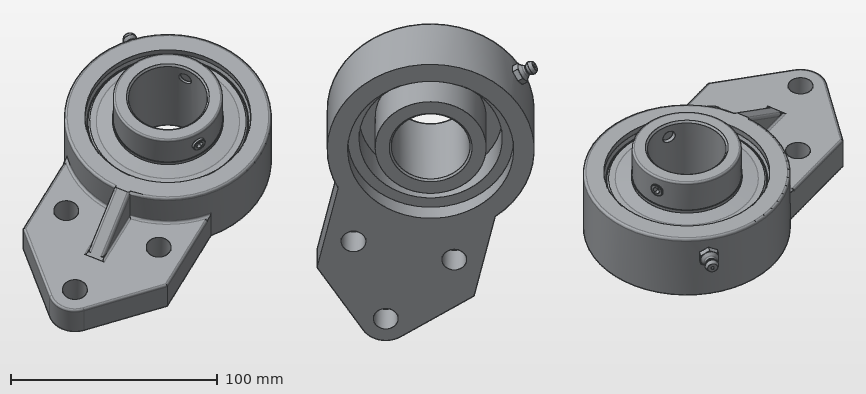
import cadquery as cq
import math

HUB_DIAMETER = 100.0
HUB_RADIUS = HUB_DIAMETER / 2
HUB_HEIGHT = 35.6
BORE_DIAMETER = 80.2
HUB_EDGE_ROUND = 1.3

FLANGE_HEIGHT = 16.9
FLANGE_HALF_WIDTH = 38.9
FLANGE_EDGE_ROUND = 1.1
FLANGE_CORNER_Y = -79.0
TIP_RADIUS = 12.8
TIP_Y = HUB_RADIUS - 164.0 + TIP_RADIUS
BOLT_HOLE_DIAMETER = 12.0
SIDE_HOLE_X = 25.0
SIDE_HOLE_Y = -60.4

RIB_WIDTH = 8.5
RIB_FOOT_Y = -80.0
RIB_HEAD_Y = -49.7
RIB_FLARE = 1.0
RIB_SINK = 3.3
RIB_EDGE_ROUND = 1.5
ROOT_ROUND = 1.3
SHOULDER_END_Y = -35.3

BEARING_MID_HEIGHT = 21.0
OUTER_RING_WIDTH = 23.0
OUTER_RING_TOP = BEARING_MID_HEIGHT + OUTER_RING_WIDTH / 2
OUTER_RING_BOTTOM = BEARING_MID_HEIGHT - OUTER_RING_WIDTH / 2
OUTER_RING_INNER_RADIUS = 34.6
RING_BEVEL_WIDTH = 1.0
RING_BEVEL_DEPTH = 1.8
SEAL_RIM = OUTER_RING_TOP - RING_BEVEL_DEPTH

INNER_RING_TOP = 51.2
INNER_RING_BOTTOM = 2.0
SHAFT_DIAMETER = 38.0
COLLAR_DIAMETER = 52.8
SHOULDER_DIAMETER = 53.6
SHOULDER_TOP = 34.0
COLLAR_ROUND = 1.0
SHAFT_CHAMFER = 1.0

SEAL_BEVEL = 0.8
SEAL_LIP = 0.5
SEAL_CREASE_RADIUS = 69.2 / 2
SEAL_INNER_RISE = 0.8
SEAL_THICKNESS = 2.5

SCREW_DIAMETER = 6.7
SCREW_HEIGHT = 43.1
SCREW_LENGTH = 7.0
SCREW_CHAMFER = 0.3
SOCKET_ACROSS_FLATS = 3.3
SOCKET_DEPTH = 3.0
SCREW_PLACES = ((90.0, 27.0), (-30.0, 27.9))

NIPPLE_ANGLE = 135.0
NIPPLE_HEIGHT = 24.6
SHANK_DIAMETER = 6.0
SHANK_INNER_END = 45.1
HEX_ACROSS_FLATS = 8.9
HEX_INNER_END = 48.4
CONE_START = 52.8
CONE_END = 54.5
NECK_START = 55.5
HEAD_START = 56.0
HEAD_WIDEST = 57.7
NIPPLE_TIP = 59.7
HEAD_DIAMETER = 6.7
NECK_DIAMETER = 5.0
VALVE_BALL_DIAMETER = 1.51

HEX_CORNER_FACTOR = 2 / math.sqrt(3)


def radial_plane(angle, distance, height):
    """Plane facing outward along a radius, its local Y pointing up."""
    direction = cq.Vector(math.cos(math.radians(angle)), math.sin(math.radians(angle)), 0)
    tangent = cq.Vector(-direction.y, direction.x, 0)
    origin = direction * distance + cq.Vector(0, 0, height)
    return cq.Plane(origin=origin, xDir=tangent, normal=direction)


def radial_cylinder(angle, height, diameter, start, end):
    return cq.Workplane(radial_plane(angle, start, height)).circle(diameter / 2).extrude(end - start)


def turned(points):
    """Solid turned about Z from (radius, height) points."""
    return cq.Workplane("XZ").polyline(points).close().revolve(360, (0, 0), (0, 1))


def flange_plate():
    reach = math.hypot(FLANGE_HALF_WIDTH, FLANGE_CORNER_Y - TIP_Y)
    corner_angle = math.atan2(FLANGE_CORNER_Y - TIP_Y, FLANGE_HALF_WIDTH)
    tangent_angle = corner_angle - math.acos(TIP_RADIUS / reach)
    tangent_x = TIP_RADIUS * math.cos(tangent_angle)
    tangent_y = TIP_Y + TIP_RADIUS * math.sin(tangent_angle)
    return (
        cq.Workplane("XY")
        .moveTo(-FLANGE_HALF_WIDTH, 0)
        .lineTo(-FLANGE_HALF_WIDTH, FLANGE_CORNER_Y)
        .lineTo(-tangent_x, tangent_y)
        .threePointArc((0, TIP_Y - TIP_RADIUS), (tangent_x, tangent_y))
        .lineTo(FLANGE_HALF_WIDTH, FLANGE_CORNER_Y)
        .lineTo(FLANGE_HALF_WIDTH, 0)
        .close()
        .extrude(FLANGE_HEIGHT)
        .faces(">Z").edges("not >Y").fillet(FLANGE_EDGE_ROUND)
    )


def flange_shoulder():
    """Square-edged part of the flange that carries the root of the hub."""
    return (
        cq.Workplane("XY")
        .center(0, SHOULDER_END_Y / 2)
        .rect(2 * FLANGE_HALF_WIDTH, -SHOULDER_END_Y)
        .extrude(FLANGE_HEIGHT)
    )


def rib_wedge(width):
    """Wedge under the rib's slope, from inside the hub wall down to the flange."""
    rib_root_y = RIB_HEAD_Y + RIB_SINK
    return (
        cq.Workplane("YZ", origin=(-width / 2, 0, 0))
        .polyline([
            (rib_root_y, FLANGE_HEIGHT - RIB_SINK),
            (rib_root_y, HUB_HEIGHT),
            (RIB_HEAD_Y, HUB_HEIGHT),
            (RIB_FOOT_Y, FLANGE_HEIGHT),
            (RIB_FOOT_Y, FLANGE_HEIGHT - RIB_SINK),
        ])
        .close()
        .extrude(width)
    )


def stiffening_rib():
    """Rib with rounded slope edges, flared along both sides where it meets the flange."""
    rib = rib_wedge(RIB_WIDTH)
    for side in (-1, 1):
        edge_middle = (side * RIB_WIDTH / 2, (RIB_FOOT_Y + RIB_HEAD_Y) / 2, (FLANGE_HEIGHT + HUB_HEIGHT) / 2)
        rib = rib.edges(cq.selectors.NearestToPointSelector(edge_middle)).fillet(RIB_EDGE_ROUND)
    half = RIB_WIDTH / 2
    wide = half + RIB_FLARE
    flare_top = FLANGE_HEIGHT + RIB_FLARE
    sagitta = RIB_FLARE * (1 - math.sqrt(0.5))
    flare = (
        cq.Workplane("XZ", origin=(0, RIB_HEAD_Y, 0))
        .moveTo(-wide, FLANGE_HEIGHT)
        .threePointArc((-half - sagitta, FLANGE_HEIGHT + sagitta), (-half, flare_top))
        .lineTo(half, flare_top)
        .threePointArc((half + sagitta, FLANGE_HEIGHT + sagitta), (wide, FLANGE_HEIGHT))
        .close()
        .extrude(RIB_HEAD_Y - RIB_FOOT_Y)
        .intersect(rib_wedge(2 * wide))
    )
    return rib.union(flare)


def build_housing():
    hub = cq.Workplane("XY").circle(HUB_RADIUS).extrude(HUB_HEIGHT).faces(">Z").edges().fillet(HUB_EDGE_ROUND)
    body = hub.union(flange_plate()).union(flange_shoulder())
    hub_root = cq.selectors.BoxSelector(
        (-FLANGE_HALF_WIDTH, -HUB_RADIUS - ROOT_ROUND, FLANGE_HEIGHT - ROOT_ROUND / 2),
        (FLANGE_HALF_WIDTH, SHOULDER_END_Y - ROOT_ROUND, FLANGE_HEIGHT + ROOT_ROUND / 2),
    )
    body = body.edges(hub_root).edges("%CIRCLE").fillet(ROOT_ROUND)
    body = body.union(stiffening_rib())
    holes = [(-SIDE_HOLE_X, SIDE_HOLE_Y), (SIDE_HOLE_X, SIDE_HOLE_Y), (0, TIP_Y)]
    bolt_holes = cq.Workplane("XY").pushPoints(holes).circle(BOLT_HOLE_DIAMETER / 2).extrude(HUB_HEIGHT)
    bore = cq.Workplane("XY").circle(BORE_DIAMETER / 2).extrude(HUB_HEIGHT)
    shank_hole = radial_cylinder(NIPPLE_ANGLE, NIPPLE_HEIGHT, SHANK_DIAMETER, SHANK_INNER_END, HUB_RADIUS + 1.6)
    return body.cut(bolt_holes).cut(bore).cut(shank_hole)


def build_outer_ring():
    outer = BORE_DIAMETER / 2
    seat = outer - RING_BEVEL_WIDTH
    return turned([
        (OUTER_RING_INNER_RADIUS, OUTER_RING_BOTTOM),
        (outer, OUTER_RING_BOTTOM),
        (outer, OUTER_RING_TOP),
        (seat, SEAL_RIM),
        (seat, SEAL_RIM - SEAL_THICKNESS),
        (OUTER_RING_INNER_RADIUS, SEAL_RIM - SEAL_THICKNESS),
    ])


def build_seal():
    outer = BORE_DIAMETER / 2 - RING_BEVEL_WIDTH
    inner = SHOULDER_DIAMETER / 2
    flat = SEAL_RIM + SEAL_BEVEL
    underside = SEAL_RIM - SEAL_THICKNESS
    return turned([
        (inner, underside),
        (outer, underside),
        (outer, SEAL_RIM),
        (outer - SEAL_LIP, SEAL_RIM),
        (outer - SEAL_LIP - SEAL_BEVEL, flat),
        (SEAL_CREASE_RADIUS, flat),
        (inner, flat + SEAL_INNER_RISE),
    ])


def build_inner_ring():
    bore = SHAFT_DIAMETER / 2
    collar = COLLAR_DIAMETER / 2
    shoulder = SHOULDER_DIAMETER / 2
    ring = turned([
        (bore, INNER_RING_BOTTOM + SHAFT_CHAMFER),
        (bore + SHAFT_CHAMFER, INNER_RING_BOTTOM),
        (shoulder, INNER_RING_BOTTOM),
        (shoulder, SHOULDER_TOP),
        (collar, SHOULDER_TOP),
        (collar, INNER_RING_TOP),
        (bore + SHAFT_CHAMFER, INNER_RING_TOP),
        (bore, INNER_RING_TOP - SHAFT_CHAMFER),
    ])
    top_edge = cq.selectors.RadiusNthSelector(-1)
    ring = ring.faces(">Z").edges(top_edge).fillet(COLLAR_ROUND)
    for angle, _ in SCREW_PLACES:
        ring = ring.cut(radial_cylinder(angle, SCREW_HEIGHT, SCREW_DIAMETER, 0, SHOULDER_DIAMETER))
    return ring


def build_set_screw(angle, outer_end):
    screw = radial_cylinder(angle, SCREW_HEIGHT, SCREW_DIAMETER, outer_end - SCREW_LENGTH, outer_end)
    screw = screw.edges().chamfer(SCREW_CHAMFER)
    socket_floor = radial_plane(angle, outer_end - SOCKET_DEPTH, SCREW_HEIGHT)
    socket = (
        cq.Workplane(socket_floor)
        .polygon(6, SOCKET_ACROSS_FLATS * HEX_CORNER_FACTOR)
        .extrude(SOCKET_DEPTH)
    )
    return screw.cut(socket)


def build_grease_nipple():
    shank = SHANK_DIAMETER / 2
    head = HEAD_DIAMETER / 2
    neck = NECK_DIAMETER / 2
    belly = neck + 0.7 * (head - neck)
    flats = HEX_ACROSS_FLATS / 2
    nipple = (
        cq.Workplane("XZ")
        .moveTo(0, SHANK_INNER_END)
        .lineTo(shank, SHANK_INNER_END)
        .lineTo(shank, CONE_START)
        .lineTo(flats, CONE_START)
        .lineTo(shank, CONE_END)
        .lineTo(neck, NECK_START)
        .lineTo(neck, HEAD_START)
        .threePointArc((belly, (HEAD_START + HEAD_WIDEST) / 2), (head, HEAD_WIDEST))
        .threePointArc((belly, (NIPPLE_TIP + HEAD_WIDEST) / 2), (neck, NIPPLE_TIP))
        .lineTo(0, NIPPLE_TIP)
        .close()
        .revolve(360, (0, 0), (0, 1))
        .union(cq.Workplane("XY", origin=(0, 0, NIPPLE_TIP)).sphere(VALVE_BALL_DIAMETER / 2))
    )
    nipple = cq.Workplane(nipple.val().moved(cq.Location(radial_plane(NIPPLE_ANGLE, 0, NIPPLE_HEIGHT))))
    hexagon = (
        cq.Workplane(radial_plane(NIPPLE_ANGLE, HEX_INNER_END, NIPPLE_HEIGHT))
        .transformed(rotate=(0, 0, 90))
        .polygon(6, HEX_ACROSS_FLATS * HEX_CORNER_FACTOR)
        .extrude(CONE_START - HEX_INNER_END)
        .cut(cq.Workplane("XY").circle(HUB_RADIUS).extrude(HUB_HEIGHT))
    )
    return nipple.union(hexagon)


housing = build_housing()
outer_ring = build_outer_ring()
seal = build_seal()
inner_ring = build_inner_ring()
grease_nipple = build_grease_nipple()
set_screws = [build_set_screw(angle, outer_end) for angle, outer_end in SCREW_PLACES]

result = cq.Compound.makeCompound([
    housing.val(),
    outer_ring.val(),
    seal.val(),
    inner_ring.val(),
    grease_nipple.val(),
    *[screw.val() for screw in set_screws],
])